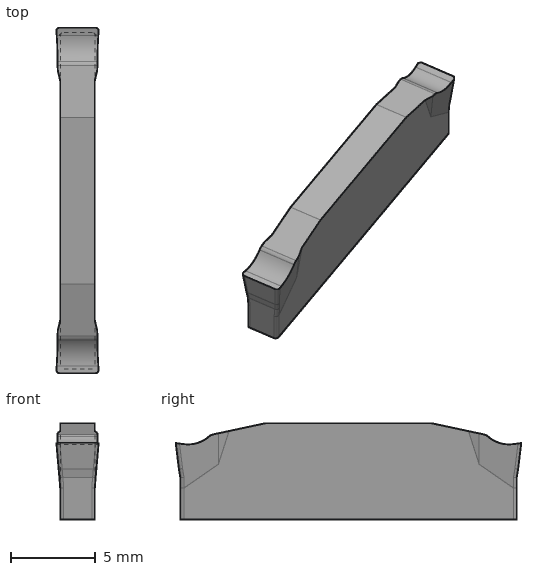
import cadquery as cq

length = 20.35
tip_width = 2.5
height = 5.67
body_width = 2.05
half_length = length / 2
half_body = body_width / 2

crown_half_length = 4.9
ridge_inner_y, ridge_inner_z = 7.95, 5.02
ridge_outer_y, ridge_outer_z = 8.2, 4.9
groove_low_y, groove_low_z = 9.35, 4.43
land_length = 0.45
land_inner_z = 4.45
tip_z = 4.52

heel_y = 9.9
heel_top_z = 2.5
clearance_y, clearance_z = 9.99, 3.01
corner_radius = 0.2

apex_y, apex_z = 7.67, 3.27
flare_low_y, flare_low_z = 9.72, 1.85
flare_top_y, flare_top_z = 7.04, 5.23
flare_reach = 6.0


def make_half_blank(width):
    """Side outline of the +Y half, extruded symmetrically in X."""
    return (
        cq.Workplane("YZ")
        .moveTo(0, 0)
        .lineTo(0, height)
        .lineTo(crown_half_length, height)
        .lineTo(ridge_inner_y, ridge_inner_z)
        .tangentArcPoint((ridge_outer_y, ridge_outer_z), relative=False)
        .threePointArc((groove_low_y, groove_low_z), (half_length - land_length, land_inner_z))
        .lineTo(half_length, tip_z)
        .lineTo(clearance_y, clearance_z)
        .tangentArcPoint((heel_y, heel_top_z), relative=False)
        .lineTo(heel_y, 0)
        .close()
        .extrude(width / 2, both=True)
    )


def make_flare():
    """Wedge that covers the head, with sides widening from an apex on each side."""
    low_slope = (apex_z - flare_low_z) / (flare_low_y - apex_y)
    widest_y = half_length - corner_radius
    height_at_tip = tip_z - flare_low_z + low_slope * (widest_y - flare_low_y)
    flare_slope = (tip_width / 2 - half_body) / height_at_tip

    rise = flare_top_z - apex_z
    apex = cq.Vector(half_body, apex_y, apex_z)
    low = apex + cq.Vector(0, flare_low_y - apex_y, flare_low_z - apex_z) * flare_reach
    top = apex + cq.Vector(0, flare_top_y - apex_y, rise) * flare_reach
    outer = apex + cq.Vector(flare_slope * rise, 0, rise) * flare_reach

    triangles = [(apex, low, top), (apex, low, outer), (apex, top, outer), (low, top, outer)]
    faces = [cq.Face.makeFromWires(cq.Wire.makePolygon(t, close=True)) for t in triangles]
    side = cq.Workplane(cq.Solid.makeSolid(cq.Shell.makeShell(faces)))
    middle = (
        cq.Workplane("YZ")
        .polyline([(corner.y, corner.z) for corner in (apex, low, top)])
        .close()
        .extrude(half_body, both=True)
    )
    return middle.union(side).union(side.mirror("YZ"))


def round_end_corners(half):
    """Round the upright edges where the end face meets the two sides."""
    inner_x = half_body - corner_radius
    inner_y = heel_y - corner_radius
    right_side = cq.selectors.BoxSelector(
        (inner_x, inner_y, 0), (tip_width, half_length, land_inner_z)
    )
    left_side = cq.selectors.BoxSelector(
        (-tip_width, inner_y, 0), (-inner_x, half_length, land_inner_z)
    )
    return half.edges(right_side + left_side).fillet(corner_radius)


body = make_half_blank(body_width)
flare = make_flare()
head = make_half_blank(2 * tip_width).intersect(flare)
half_insert = round_end_corners(body).union(round_end_corners(head))
result = half_insert.union(half_insert.mirror("XZ")).clean()